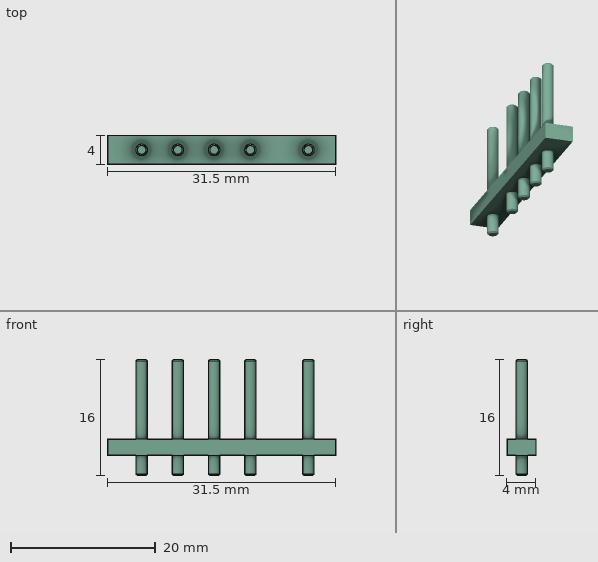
import cadquery as cq

BAR_LENGTH = 31.5
BAR_WIDTH = 4.0
BAR_HEIGHT = 2.25

PIN_DIAMETER = 1.6
PIN_CHAMFER = 0.2
PIN_ABOVE_BAR = 11.0
PIN_BELOW_BAR = 2.75
PIN_PITCH = 5.0
PITCHED_PIN_COUNT = 4
WIDE_GAP = 8.0
FIRST_PIN_INSET = 4.7


def pin_positions():
    """X coordinates of all pin axes, from -X to +X."""
    first_x = -BAR_LENGTH / 2 + FIRST_PIN_INSET
    positions = [first_x + i * PIN_PITCH for i in range(PITCHED_PIN_COUNT)]
    positions.append(positions[-1] + WIDE_GAP)
    return positions


def make_bar():
    """Plain rectangular bar that carries the pins."""
    return cq.Workplane("XY").box(BAR_LENGTH, BAR_WIDTH, BAR_HEIGHT, centered=(True, True, False))


def make_pin(x):
    """Round pin through the bar, chamfered at both ends."""
    pin_length = PIN_BELOW_BAR + BAR_HEIGHT + PIN_ABOVE_BAR
    return (
        cq.Workplane("XY", origin=(x, 0, -PIN_BELOW_BAR))
        .circle(PIN_DIAMETER / 2)
        .extrude(pin_length)
        .faces("<Z or >Z")
        .chamfer(PIN_CHAMFER)
    )


result = make_bar()
for pin_x in pin_positions():
    result = result.union(make_pin(pin_x))